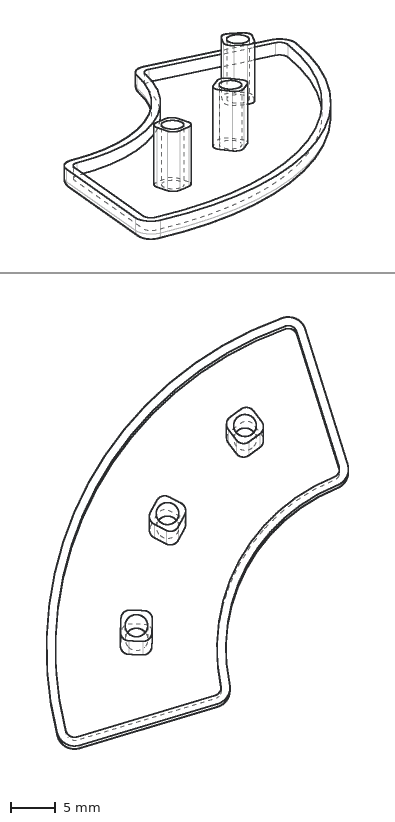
import cadquery as cq
import math

side_length = 39.95
corner_radius = 2.0
tray_height = 2.5
wall = 1.0
floor = 1.0
bottom_fillet = 1.0
outer_radius = corner_radius + math.hypot(side_length - corner_radius, corner_radius)
inner_radius = outer_radius / 2

post_top = 8.2
post_width = 3.5
post_corner_radius = 1.0
post_bore = 2.5
post_circle_radius = (outer_radius + inner_radius) / 2
middle_angle = 45.0
post_spacing_angle = 25.5


def quarter_ring(inner, outer, edge, base, height, radius):
    """Quarter ring with straight sides at x = edge and y = edge and rounded corners."""
    inner_end = math.sqrt(inner**2 - edge**2)
    outer_end = math.sqrt(outer**2 - edge**2)
    inner_mid = inner * math.sqrt(0.5)
    outer_mid = outer * math.sqrt(0.5)
    return (
        cq.Workplane("XY", origin=(0, 0, base))
        .moveTo(inner_end, edge)
        .lineTo(outer_end, edge)
        .threePointArc((outer_mid, outer_mid), (edge, outer_end))
        .lineTo(edge, inner_end)
        .threePointArc((inner_mid, inner_mid), (inner_end, edge))
        .close()
        .extrude(height)
        .edges("|Z")
        .fillet(radius)
    )


def make_tray():
    """Shallow tray with a uniform rim and a rounded underside."""
    body = quarter_ring(inner_radius, outer_radius, 0, 0, tray_height, corner_radius)
    body = body.faces("<Z").edges().fillet(bottom_fillet)
    pocket = quarter_ring(
        inner_radius + wall,
        outer_radius - wall,
        wall,
        floor,
        tray_height - floor,
        corner_radius - wall,
    )
    return body.cut(pocket)


def make_post(angle):
    """Rounded square post, turned to face the ring centre, bored down to the floor."""
    return (
        cq.Workplane("XY", origin=(post_circle_radius, 0, floor))
        .rect(post_width, post_width)
        .extrude(post_top - floor)
        .edges("|Z")
        .fillet(post_corner_radius)
        .faces(">Z")
        .workplane()
        .hole(post_bore)
        .rotate((0, 0, 0), (0, 0, 1), angle)
    )


result = make_tray()
for step in (-1, 0, 1):
    result = result.union(make_post(middle_angle + step * post_spacing_angle))